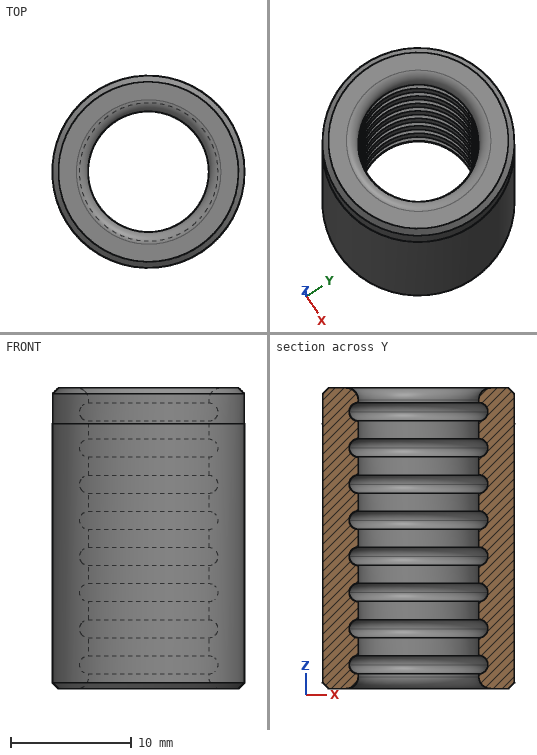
import cadquery as cq

length = 25.0
outer_radius = 8.0
bore_radius = 5.0
rim_chamfer = 0.5
mouth_round = 1.0

lead_in_length = 3.0
lead_in_relief = 0.025
lead_in_radius = outer_radius - lead_in_relief
lead_in_base_z = length - lead_in_length

groove_radius = 0.75
groove_width = 2 * groove_radius
groove_count = 8
groove_pitch = 2 * groove_width
first_groove_z = (length - (groove_count - 1) * groove_pitch) / 2


def sleeve_body():
    """Sleeve with its lead-in band and chamfered rims, still without a bore."""
    sleeve = cq.Workplane("XY").circle(outer_radius).extrude(lead_in_base_z)
    lead_in = (
        cq.Workplane("XY", origin=(0, 0, lead_in_base_z))
        .circle(lead_in_radius)
        .extrude(lead_in_length)
    )
    return sleeve.union(lead_in).faces("<Z or >Z").edges().chamfer(rim_chamfer)


def add_bore(body):
    """Cut the through bore and round its mouth at both ends."""
    bored = body.cut(cq.Workplane("XY").circle(bore_radius).extrude(length))
    mouths = bored.faces("<Z or >Z").edges(cq.selectors.RadiusNthSelector(0))
    return mouths.fillet(mouth_round)


def bore_groove(center_z):
    """Ring of round section that cuts a half-round groove into the bore wall."""
    center = cq.Vector(0, 0, center_z)
    return cq.Workplane(cq.Solid.makeTorus(bore_radius, groove_radius, center))


result = add_bore(sleeve_body())
for index in range(groove_count):
    result = result.cut(bore_groove(first_groove_z + index * groove_pitch))